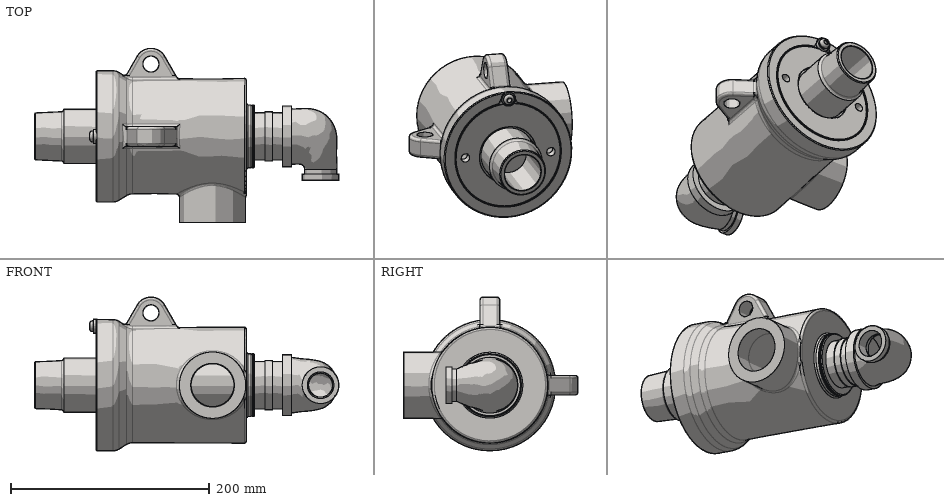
import cadquery as cq
import math


shaft_step_x = 29.5
flange_x = 62.2
flange_end_x = 79.0
blend_length = 6.5
body_start_x = 99.1
body_end_x = 214.0
gland_end_x = 222.3
nipple_band_start_x = 232.5
nipple_band_end_x = 240.2
collar_start_x = 250.1
collar_end_x = 259.6
overall_length = 307.31
overall_width = 176.2

shaft_diameter = 55.0
taper_tip_diameter = 47.6
taper_root_diameter = 50.0
shaft_bore_diameter = 37.6
shaft_bore_depth = flange_x
shaft_core_diameter = 53.3
tip_chamfer = 1.0
bore_mouth_chamfer = 0.5

flange_radius = 66.4
flange_edge_chamfer = 1.0
body_start_radius = 58.2
body_end_radius = 58.7
blend_angle = math.radians(32)
body_end_fillet = 2.5
port_overrun = 30.0

shaft_recess_diameter = 59.5
shaft_recess_depth = 3.0
cover_groove_outer_radius = 55.3
cover_groove_width = 1.2
cover_groove_depth = 1.0
spanner_hole_diameter = 8.7
spanner_hole_offset = 44.4
spanner_hole_depth = 10.0
drill_point_angle = math.radians(59)

screw_z = 59.5
screw_flange_diameter = 14.3
screw_flange_thickness = 2.8
screw_head_diameter = 11.1
screw_head_height = 3.8
screw_head_rounding = 2.8
screw_socket_diameter = 4.98
screw_socket_depth = 1.5
pocket_floor_z = 53.6
pocket_base_width = 20.0
pocket_depth = 1.0

lug_x = 117.5
lug_hole_z = 73.0
lug_radius = 16.0
lug_hole_diameter = 16.0
lug_thickness = 20.0
lug_side_angle = math.radians(30)
lug_root_z = 45.0
lug_edge_fillet = 3.0
lug_root_fillet = 3.0
lug_trim_z = 61.5

port_x = 179.7
port_diameter = 67.0
port_bore_diameter = 43.26
port_mouth_diameter = 44.2
port_mouth_depth = 19.0
port_face_y = lug_hole_z + lug_radius - overall_width
port_root_fillet = 3.0

gland_diameter = 63.6
gland_base_flare = 1.5
gland_chamfer = 1.0
gland_groove_start_x = 218.4
gland_groove_end_x = 219.8
gland_groove_depth = 0.5
nipple_diameter = 48.2
nipple_band_diameter = 50.0
collar_diameter = 61.72
elbow_inlet_radius = 28.2
elbow_outlet_radius = 16.35
elbow_pivot_x = 268.5
elbow_pivot_y = -33.5
elbow_outer_radius = 30.0
elbow_bend_half_height = 26.9
elbow_narrowing_power = 1.5
elbow_sections = 7
elbow_section_points = 12
elbow_bore_diameter = 24.12
elbow_mouth_bore_diameter = 26.9
elbow_rim_diameter = 37.08
elbow_rim_thickness = 6.5
elbow_face_y = -44.5
elbow_outlet_x = overall_length - elbow_rim_diameter / 2


def x_cylinder(start_x, end_x, diameter, z=0.0, y=0.0):
    """Cylinder parallel to X."""
    plane = cq.Workplane("YZ", origin=(start_x, y, z))
    return plane.circle(diameter / 2).extrude(end_x - start_x)


def x_cone(start_x, end_x, start_diameter, end_diameter, z=0.0, y=0.0):
    """Cone parallel to X."""
    start = cq.Vector(start_x, y, z)
    along = cq.Vector(1, 0, 0)
    cone = cq.Solid.makeCone(start_diameter / 2, end_diameter / 2, end_x - start_x, start, along)
    return cq.Workplane(cone)


def drilled_hole(start_x, depth, diameter, z=0.0, y=0.0):
    """Blind hole parallel to X, ending in a drill point."""
    end_x = start_x + depth
    point_end_x = end_x + diameter / 2 / math.tan(drill_point_angle)
    shank = x_cylinder(start_x, end_x, diameter, z, y)
    return shank.union(x_cone(end_x, point_end_x, diameter, 0, z, y))


def outlet_cylinder(x, face_y, depth, diameter):
    """Cylinder parallel to Y, running inward from a face that looks along -Y."""
    plane = cq.Workplane("XZ", origin=(x, face_y, 0))
    return plane.circle(diameter / 2).extrude(-depth)


def outlet_taper(x, face_y, depth, mouth_diameter, inner_diameter):
    """Cone parallel to Y, narrowing inward from a face that looks along -Y."""
    inward = cq.Vector(0, 1, 0)
    mouth_centre = cq.Vector(x, face_y, 0)
    cone = cq.Solid.makeCone(
        mouth_diameter / 2, inner_diameter / 2, depth, mouth_centre, inward
    )
    return cq.Workplane(cone)


def make_body(end_x):
    """Flange blending into the slightly flared body, revolved about X."""
    blend_radius = blend_length / math.sin(blend_angle)
    half_angle = blend_angle / 2
    mid_x = blend_radius * math.sin(half_angle)
    mid_drop = blend_radius * (1 - math.cos(half_angle))
    full_drop = blend_radius * (1 - math.cos(blend_angle))
    flare = (body_end_radius - body_start_radius) / (body_end_x - body_start_x)
    end_radius = body_start_radius + flare * (end_x - body_start_x)
    profile = (
        cq.Workplane("XY")
        .moveTo(flange_x, 0)
        .lineTo(flange_x, flange_radius - flange_edge_chamfer)
        .lineTo(flange_x + flange_edge_chamfer, flange_radius)
        .lineTo(flange_end_x, flange_radius)
        .threePointArc(
            (flange_end_x + mid_x, flange_radius - mid_drop),
            (flange_end_x + blend_length, flange_radius - full_drop),
        )
        .lineTo(body_start_x - blend_length, body_start_radius + full_drop)
        .threePointArc(
            (body_start_x - mid_x, body_start_radius + mid_drop),
            (body_start_x, body_start_radius),
        )
        .lineTo(end_x, end_radius)
        .lineTo(end_x, 0)
        .close()
    )
    return profile.revolve(360, (0, 0, 0), (1, 0, 0))


def make_lug():
    """Upright sharp-edged lug: rounded top and sloping sides."""
    tangent_x = lug_radius * math.cos(lug_side_angle)
    tangent_z = lug_hole_z + lug_radius * math.sin(lug_side_angle)
    root_x = tangent_x + (tangent_z - lug_root_z) * math.tan(lug_side_angle)
    return (
        cq.Workplane("XZ", origin=(lug_x, lug_thickness / 2, 0))
        .moveTo(-root_x, lug_root_z)
        .lineTo(-tangent_x, tangent_z)
        .threePointArc((0, lug_hole_z + lug_radius), (tangent_x, tangent_z))
        .lineTo(root_x, lug_root_z)
        .close()
        .extrude(lug_thickness)
    )


def lug_edge_trim(lug):
    """Slivers to remove so that the lug's rim is rounded above its root fillet."""
    rounded = lug.faces("<Y or >Y").edges("not <Z").fillet(lug_edge_fillet)
    above_root = cq.Workplane("XY", origin=(lug_x, 0, lug_trim_z)).rect(
        4 * lug_radius, 2 * lug_thickness
    )
    return lug.cut(rounded).intersect(above_root.extrude(2 * lug_radius))


def lug_hole():
    """Pin through the lug along Y."""
    plane = cq.Workplane("XZ", origin=(lug_x, lug_thickness, lug_hole_z))
    return plane.circle(lug_hole_diameter / 2).extrude(2 * lug_thickness)


def add_lug(body):
    """Join one upright lug to the body, with a fillet around its root."""
    lug = make_lug()
    joined = body.union(lug)
    root = cq.selectors.BoxSelector(
        (lug_x - 2 * lug_radius, -lug_thickness, lug_root_z),
        (lug_x + 2 * lug_radius, lug_thickness, lug_trim_z),
    )
    return joined.edges(root).fillet(lug_root_fillet).cut(lug_edge_trim(lug)).cut(lug_hole())


def add_port(body):
    """Join the side port to the body, with a fillet around its root."""
    joined = body.union(outlet_cylinder(port_x, port_face_y, -port_face_y, port_diameter))
    reach = port_diameter
    root = cq.selectors.BoxSelector(
        (port_x - reach, -flange_radius, -reach),
        (port_x + reach, -body_end_radius / 2, reach),
    )
    return joined.edges(root).fillet(port_root_fillet)


def make_shaft():
    """Tapered tip blending into the full shaft diameter."""
    tip_radius = taper_tip_diameter / 2
    root_radius = taper_root_diameter / 2
    shaft_radius = shaft_diameter / 2
    step = shaft_radius - root_radius
    bend = step * math.sqrt(0.5)
    return (
        cq.Workplane("XY")
        .lineTo(0, tip_radius - tip_chamfer)
        .lineTo(tip_chamfer, tip_radius)
        .lineTo(shaft_step_x - step, root_radius)
        .threePointArc(
            (shaft_step_x - step + bend, shaft_radius - bend),
            (shaft_step_x, shaft_radius),
        )
        .lineTo(flange_x + shaft_recess_depth, shaft_radius)
        .lineTo(flange_x + shaft_recess_depth, 0)
        .close()
        .revolve(360, (0, 0, 0), (1, 0, 0))
    )


def shaft_bore():
    """Blind flat-bottomed bore with a chamfered mouth."""
    mouth_diameter = shaft_bore_diameter + 2 * bore_mouth_chamfer
    mouth = x_cone(0, bore_mouth_chamfer, mouth_diameter, shaft_bore_diameter)
    return x_cylinder(0, shaft_bore_depth, shaft_bore_diameter).union(mouth)


def make_gland_and_nipple():
    """Gland with a flared base and a groove, then the banded nipple."""
    gland = x_cylinder(body_end_x, gland_end_x, gland_diameter).faces(">X").chamfer(gland_chamfer)
    groove = x_cylinder(gland_groove_start_x, gland_groove_end_x, gland_diameter)
    groove = groove.cut(
        x_cylinder(gland_groove_start_x, gland_groove_end_x, gland_diameter - 2 * gland_groove_depth)
    )
    nipple = x_cylinder(gland_end_x, collar_start_x, nipple_diameter)
    band = x_cylinder(nipple_band_start_x, nipple_band_end_x, nipple_band_diameter)
    base = x_cone(
        body_end_x,
        body_end_x + gland_base_flare,
        gland_diameter + 2 * gland_base_flare,
        gland_diameter,
    )
    return gland.cut(groove).union(base).union(nipple).union(band)


def outer_elbow_distance(angle):
    """Distance from the inner corner to the elbow's outer outline: straight, round, straight."""
    height = elbow_inlet_radius - elbow_pivot_y
    width = elbow_outlet_x + elbow_outlet_radius - elbow_pivot_x
    arc_x = width - elbow_outer_radius
    arc_y = height - elbow_outer_radius
    if angle < math.atan2(arc_x, height):
        return height / math.cos(angle)
    if angle > math.atan2(width, arc_y):
        return width / math.sin(angle)
    along = arc_x * math.sin(angle) + arc_y * math.cos(angle)
    across = arc_x * math.cos(angle) - arc_y * math.sin(angle)
    return along + math.sqrt(elbow_outer_radius**2 - across**2)


def elbow_bend(wall):
    """Reducing bend through oval sections that turn about the inner corner."""
    inlet_clearance = -elbow_pivot_y - elbow_inlet_radius
    outlet_clearance = elbow_outlet_x - elbow_outlet_radius - elbow_pivot_x
    wires = [elbow_section(collar_end_x, 0, 0, elbow_inlet_radius - wall, elbow_inlet_radius - wall)]
    for index in range(elbow_sections):
        share = index / (elbow_sections - 1)
        angle = share * math.pi / 2
        inner = inlet_clearance + share * (outlet_clearance - inlet_clearance)
        outer = outer_elbow_distance(angle)
        offset = (outer + inner) / 2
        narrowing = (elbow_bend_half_height - elbow_outlet_radius) * share**elbow_narrowing_power
        wires.append(
            elbow_section(
                elbow_pivot_x + offset * math.sin(angle),
                elbow_pivot_y + offset * math.cos(angle),
                angle,
                (outer - inner) / 2 - wall,
                elbow_bend_half_height - narrowing - wall,
            )
        )
    return cq.Workplane(cq.Solid.makeLoft(wires))


def elbow_section(x, y, angle, half_width, half_height):
    """Smooth oval section, turned about Z by the bend angle."""
    points = []
    for index in range(elbow_section_points):
        turn = 2 * math.pi * index / elbow_section_points
        across = half_width * math.cos(turn)
        points.append(
            cq.Vector(
                x + across * math.sin(angle),
                y + across * math.cos(angle),
                half_height * math.sin(turn),
            )
        )
    return cq.Wire.assembleEdges([cq.Edge.makeSpline(points, periodic=True)])


def make_elbow():
    """Hollow reducing elbow with a collar, an outlet rim and a tapered mouth."""
    wall = elbow_outlet_radius - elbow_bore_diameter / 2
    neck_length = elbow_pivot_y - elbow_face_y
    collar = x_cylinder(collar_start_x, collar_end_x, collar_diameter)
    neck = outlet_cylinder(elbow_outlet_x, elbow_face_y, neck_length, 2 * elbow_outlet_radius)
    rim = outlet_cylinder(elbow_outlet_x, elbow_face_y, elbow_rim_thickness, elbow_rim_diameter)
    mouth = outlet_taper(
        elbow_outlet_x, elbow_face_y, neck_length, elbow_mouth_bore_diameter, elbow_bore_diameter
    )
    outside = collar.union(elbow_bend(0)).union(neck).union(rim)
    return outside.cut(elbow_bend(wall)).cut(mouth)


def cover_details():
    """Everything sunk into the flange face."""
    recess = x_cylinder(flange_x, flange_x + shaft_recess_depth, shaft_recess_diameter)
    groove_end_x = flange_x + cover_groove_depth
    groove_inner_radius = cover_groove_outer_radius - cover_groove_width
    groove = x_cylinder(flange_x, groove_end_x, 2 * cover_groove_outer_radius)
    groove = groove.cut(x_cylinder(flange_x, groove_end_x, 2 * groove_inner_radius))
    pocket = (
        cq.Workplane("YZ", origin=(flange_x, 0, 0))
        .moveTo(-pocket_base_width / 2, pocket_floor_z)
        .lineTo(pocket_base_width / 2, pocket_floor_z)
        .lineTo(screw_flange_diameter / 2, screw_z)
        .threePointArc(
            (0, screw_z + screw_flange_diameter / 2),
            (-screw_flange_diameter / 2, screw_z),
        )
        .close()
        .extrude(pocket_depth)
    )
    details = recess.union(groove).union(pocket)
    for side in (-1, 1):
        hole_y = side * spanner_hole_offset
        hole = drilled_hole(flange_x, spanner_hole_depth, spanner_hole_diameter, y=hole_y)
        details = details.union(hole)
    return details


def make_screw():
    """Retaining screw with a flange, a rounded head and a drilled socket."""
    flange_front_x = flange_x - screw_flange_thickness
    head_front_x = flange_front_x - screw_head_height
    flange = x_cylinder(flange_front_x, flange_x + pocket_depth, screw_flange_diameter, z=screw_z)
    head = x_cylinder(head_front_x, flange_front_x, screw_head_diameter, z=screw_z)
    head = head.faces("<X").edges().fillet(screw_head_rounding)
    socket = drilled_hole(head_front_x, screw_socket_depth, screw_socket_diameter, z=screw_z)
    return flange.union(head).cut(socket)


def port_bore():
    """Port bore with a tapered mouth, stopping on the round shaft core."""
    bore = outlet_cylinder(port_x, port_face_y, -port_face_y, port_bore_diameter)
    mouth = outlet_taper(
        port_x, port_face_y, port_mouth_depth, port_mouth_diameter, port_bore_diameter
    )
    return bore.union(mouth).cut(x_cylinder(flange_x, body_end_x, shaft_core_diameter))


def end_rounding():
    """Ring that rounds off the outer corner at the far end of the body."""
    rounding_start_x = body_end_x - body_end_fillet
    inner_radius = body_end_radius - body_end_fillet
    bend = body_end_fillet * math.sqrt(0.5)
    return (
        cq.Workplane("XY")
        .moveTo(rounding_start_x, body_end_radius)
        .threePointArc(
            (rounding_start_x + bend, inner_radius + bend),
            (body_end_x, inner_radius),
        )
        .lineTo(body_end_x, body_end_radius)
        .close()
        .revolve(360, (0, 0, 0), (1, 0, 0))
    )


def make_housing():
    """Flanged body with its lugs and port, trimmed square at the far end."""
    main_axis = ((0, 0, 0), (1, 0, 0))
    housing = add_lug(make_body(body_end_x + port_overrun))
    housing = add_lug(housing.rotate(*main_axis, -90))
    housing = add_port(housing)
    overrun = x_cylinder(body_end_x, body_end_x + 2 * port_overrun, 4 * flange_radius)
    return housing.cut(overrun).cut(end_rounding())


housing = make_housing()
housing = housing.cut(cover_details()).cut(port_bore())

result = (
    housing.union(make_shaft())
    .cut(shaft_bore())
    .union(make_screw())
    .union(make_gland_and_nipple())
    .union(make_elbow())
)